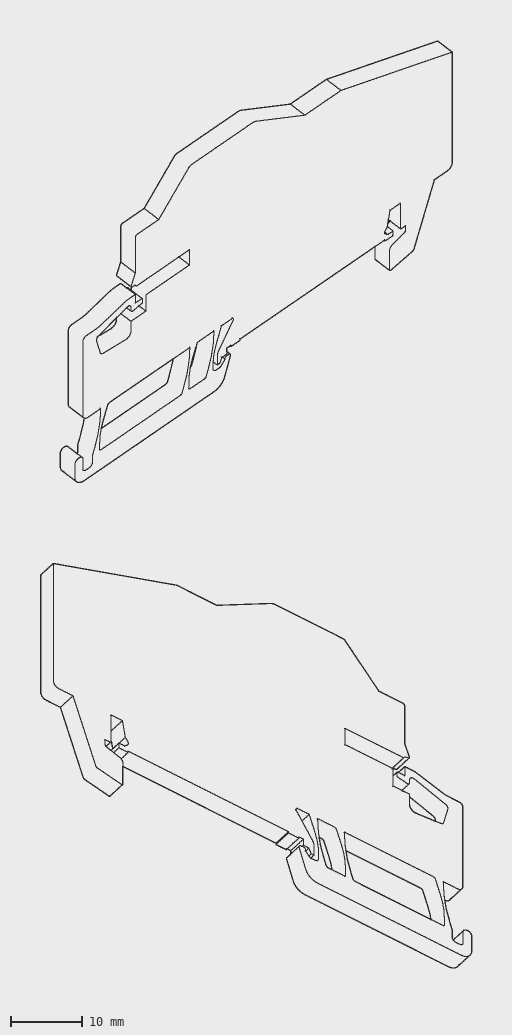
import cadquery as cq
import math


thickness = 3.0
overall_length = 73.23
overall_height = 49.25

fine = 0.2
soft = 0.4

front_edge = 71.67
underside = 12.35
corner_radius = 1.0
rear_top = 35.8
shoulder_height = 43.5
shoulder_start = 21.6
shoulder_end = 28.6
crown_start = 38.4
crown_end = 50.9
crown_rear_radius = 1.5
crown_front_radius = 0.8
brow_height = 42.65
brow_start = 56.95
brow_front = 61.5
lip_start = 35.05
lip_tip = 62.4
lip_bottom = 32.75

slot_rear = 51.0
slot_roof = 32.25
slot_floor = 29.15
step_along = 59.45
step_floor = 25.85
window_rear = 62.35
window_rear_floor = 22.75
window_front_floor = 23.3
window_floor_front = 68.2
window_roof_front = 69.15
window_roof_front_height = 27.2
window_roof_rear_height = 29.5
window_rear_radius = 1.0
window_radius = 0.6
latch_tip = 60.1
latch_hook_top = 28.95
latch_hook_bottom = 27.8
latch_top = 30.7
latch_top_front = 63.25
latch_root = 68.62
latch_front_radius = 2.6
latch_root_radius = 4.3
front_top_radius = 0.7

seat_bottom = 7.05
seat_pad_bottom = 6.8
seat_rear_top = 12.1
groove_top_along = 12.6
groove_top = 9.4
groove_front = 13.3
groove_height = 8.5
groove_radius = 0.5
groove_bottom_along = 12.5
rear_pad_tip = 11.48
rear_pad_top = 7.72
rear_pad_end = 13.1
front_pad_start = 41.15
front_pad_end = 42.95
claw_rear = 43.75
claw_front = 45.6
claw_bottom = 4.98
claw_step = 5.88
claw_step_front = 44.72
claw_tip_rear = 45.1
claw_bend = 7.3
claw_bend_radius = 1.5
ramp_top = 42.42
ramp_chamfer = 0.35

foot_rear_top = 3.45
foot_heel = 7.5
foot_heel_height = 0.92
foot_front = 12.17
foot_nose_height = 4.85
foot_nose_radius = 0.8
foot_notch_rear = 9.05
foot_notch_floor = 5.9
foot_slot_rear = 10.1

leg_top_rear = 44.77
leg_top_front = 46.24
leg_bottom_rear = 46.43
leg_bottom_front = 47.85
leg_rear_bend = 7.6
leg_front_bend = 8.6
leg_rear_bend_radius = 12.0
leg_front_bend_radius = 22.0
second_leg = 4.68
third_leg = 21.98
bar_top = 3.95
bar_rear = 44.65
bar_rear_radius = 2.2
bar_front_radius = 1.9
jaw_rear = 42.85
jaw_front = 44.08
jaw_top = 5.55
jaw_floor = 4.12
jaw_floor_rear = 44.95
jaw_tip_front_height = 5.06
jaw_floor_radius = 0.7
pull_slot_floor = 1.94
pull_top = 5.34
pull_rear = front_edge
pull_tip_radius = 0.75
pull_slot_radius = 0.6


profile_plane = cq.Plane(
    origin=(thickness / 2, overall_length / 2, 0),
    xDir=(0, -1, 0),
    normal=(-1, 0, 0),
)


def profile(corners):
    """Extrude a closed outline of (along, height[, fillet radius]) corners through the thickness."""
    points = [corner[:2] for corner in corners]
    radii = [corner[2] if len(corner) > 2 else 0 for corner in corners]
    path = None
    for i, (along, height) in enumerate(points):
        before = points[i - 1]
        after = points[(i + 1) % len(points)]
        if radii[i] == 0:
            stops = [(along, height)]
        else:
            stops = fillet_stops(before, points[i], after, radii[i])
        if path is None:
            path = cq.Workplane(profile_plane).moveTo(*stops[0])
        else:
            path = path.lineTo(*stops[0])
        if len(stops) > 1:
            path = path.threePointArc(stops[1], stops[2])
    return path.close().extrude(thickness)


def fillet_stops(before, corner, after, radius):
    """Start, middle and end of the arc that rounds a corner."""
    in_length = math.dist(before, corner)
    out_length = math.dist(after, corner)
    back = [(b - c) / in_length for b, c in zip(before, corner)]
    ahead = [(a - c) / out_length for a, c in zip(after, corner)]
    half_angle = math.acos(back[0] * ahead[0] + back[1] * ahead[1]) / 2
    setback = radius / math.tan(half_angle)
    middle_distance = radius / math.sin(half_angle) - radius
    bisector = [b + a for b, a in zip(back, ahead)]
    bisector_length = math.hypot(*bisector)
    start = tuple(c + setback * b for c, b in zip(corner, back))
    middle = tuple(c + middle_distance * d / bisector_length for c, d in zip(corner, bisector))
    end = tuple(c + setback * a for c, a in zip(corner, ahead))
    return [start, middle, end]


def housing():
    """Main plate with its stepped roof, entry slot, latch arm and latch window."""
    return profile([
        (0, underside, corner_radius),
        (0, rear_top),
        (shoulder_start, shoulder_height),
        (shoulder_end, shoulder_height),
        (crown_start, overall_height, crown_rear_radius),
        (crown_end, overall_height, crown_front_radius),
        (brow_start, brow_height),
        (brow_front, brow_height, soft),
        (brow_front, lip_start),
        (lip_tip, lip_bottom, fine),
        (brow_front, lip_bottom - fine),
        (brow_front - fine, slot_roof),
        (slot_rear, slot_roof),
        (slot_rear, slot_floor),
        (step_along, slot_floor, fine),
        (step_along, step_floor),
        (window_rear, step_floor),
        (window_rear, window_rear_floor, window_rear_radius),
        (window_floor_front, window_front_floor, window_radius),
        (window_roof_front, window_roof_front_height, window_radius),
        (window_rear, window_roof_rear_height, window_radius),
        (window_rear, latch_hook_bottom - fine, soft),
        (latch_tip, latch_hook_bottom + fine, fine),
        (latch_tip, latch_hook_top, fine),
        (brow_front, latch_hook_top),
        (brow_front, latch_top),
        (latch_top_front, latch_top, latch_front_radius),
        (latch_root, slot_floor, latch_root_radius),
        (front_edge, slot_floor, front_top_radius),
        (front_edge, underside, corner_radius),
    ])


def rail_seat():
    """Block that rests on the rail, ending in a claw next to the spring foot."""
    return profile([
        (seat_rear_top, underside),
        (groove_top_along, groove_top),
        (groove_front, groove_height, groove_radius),
        (groove_bottom_along, rear_pad_top),
        (rear_pad_tip, rear_pad_top),
        (rear_pad_tip, seat_pad_bottom),
        (rear_pad_end, seat_pad_bottom),
        (rear_pad_end, seat_bottom),
        (front_pad_start, seat_bottom),
        (front_pad_start, seat_pad_bottom),
        (front_pad_end, seat_pad_bottom),
        (front_pad_end, seat_bottom),
        (claw_rear, seat_bottom),
        (claw_rear, claw_step),
        (claw_step_front, claw_step),
        (claw_tip_rear, claw_bottom),
        (claw_front, claw_bottom),
        (claw_front, claw_bend, claw_bend_radius),
        (ramp_top, underside - ramp_chamfer),
        (ramp_top + fine, underside),
    ])


def fixed_foot():
    """Rigid rear foot that hooks under one rail edge."""
    return profile([
        (foot_rear_top, underside),
        (foot_heel, foot_heel_height, soft),
        (foot_front, 0, fine),
        (foot_front, foot_nose_height, foot_nose_radius),
        (foot_notch_rear, foot_notch_floor, soft),
        (foot_notch_rear, seat_bottom),
        (foot_slot_rear, seat_bottom, fine),
        (foot_slot_rear, underside),
    ])


def leg_window(rear_leg, front_leg):
    """Opening between two neighbouring legs, given by their offsets from the first leg."""
    return profile([
        (leg_top_front + rear_leg, underside),
        (leg_top_rear + front_leg, underside, soft),
        (leg_bottom_rear + front_leg, leg_rear_bend, leg_rear_bend_radius),
        (leg_bottom_rear + front_leg, bar_top, fine),
        (leg_bottom_front + rear_leg, bar_top, soft),
        (leg_top_front + rear_leg, leg_front_bend, leg_front_bend_radius),
    ])


def spring_foot():
    """Front foot: a bar with a jaw and a pull hook, hung on three flexible legs."""
    foot = profile([
        (leg_top_rear, underside),
        (leg_bottom_rear, leg_rear_bend, leg_rear_bend_radius),
        (leg_bottom_rear, jaw_floor, jaw_floor_radius),
        (jaw_floor_rear, jaw_floor, soft),
        (jaw_front, jaw_tip_front_height),
        (jaw_front, jaw_top, fine),
        (jaw_rear, jaw_top, soft),
        (bar_rear, 0, bar_rear_radius),
        (overall_length, 0, bar_front_radius),
        (overall_length, pull_top, pull_tip_radius),
        (pull_rear, pull_top, pull_tip_radius),
        (pull_rear, pull_slot_floor, pull_slot_radius),
        (leg_bottom_front + third_leg, pull_slot_floor, pull_slot_radius),
        (leg_bottom_front + third_leg, bar_top, fine),
        (leg_top_front + third_leg, leg_front_bend, leg_front_bend_radius),
        (leg_top_front + third_leg, underside),
    ])
    for rear_leg, front_leg in [(0, second_leg), (second_leg, third_leg)]:
        foot = foot.cut(leg_window(rear_leg, front_leg))
    return foot


result = housing().union(rail_seat()).union(fixed_foot()).union(spring_foot()).clean()